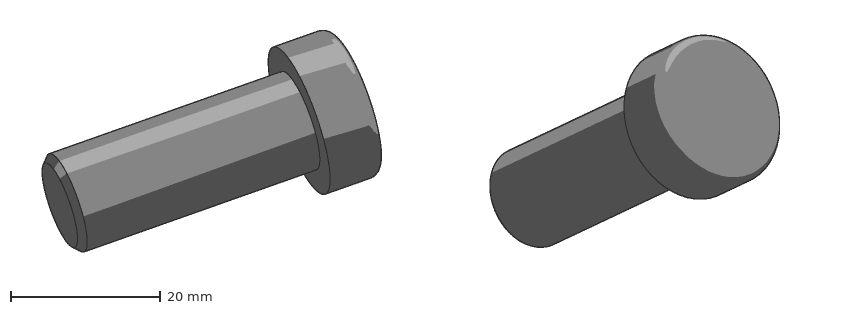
import cadquery as cq

total_length = 43.0
head_diameter = 21.0
head_height = 8.0
head_fillet = 1.4
shank_diameter = 14.0
tip_chamfer = 1.0

shank_length = total_length - head_height


def cylinder_along_y(diameter, start, length):
    """Solid cylinder on the Y axis, from y = start towards +Y."""
    base = cq.Workplane("XZ", origin=(0, start, 0))
    return base.circle(diameter / 2).extrude(-length)


shank = cylinder_along_y(shank_diameter, 0, shank_length).faces("<Y").edges().chamfer(tip_chamfer)

head = cylinder_along_y(head_diameter, shank_length, head_height).faces(">Y").edges().fillet(head_fillet)

result = shank.union(head)